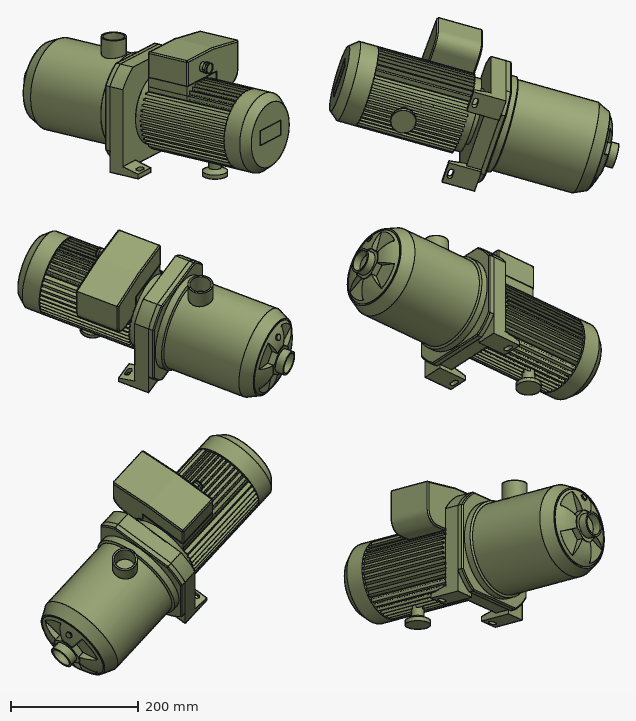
import cadquery as cq
import math


HUB_FACE_X = 13.8
DOME_START_X = 15.0
POCKET_FLOOR_X = 25.0
SHELL_START_X = 29.0
CONE_END_X = 49.6
COLLAR_START_X = 183.3
COLLAR_FULL_X = 185.3
FLANGE_X = 196.5
BRACKET_X = 205.9
NECK_X = 230.5
MOTOR_X = 239.0
FINS_X = 251.2
COVER_X = 410.4
COVER_TAPER_X = 440.4
COVER_END_X = 454.5
OVERALL_LENGTH = 455.3

PIPE_R = 39.7 / 2
PIPE_BORE_R = 33.7 / 2
DISCHARGE_X = 157.3
DISCHARGE_TOP_Z = 102.3
DISCHARGE_FLOOR_Z = 70.0

HUB_R = 25.7
DOME_R = 57.5
CAP_R = 62.5
POCKET_COUNT = 4
POCKET_HALF_ANGLE = math.radians(22.5)
POCKET_INNER = HUB_R * math.cos(POCKET_HALF_ANGLE)

PLUG_R = 10 / 2
PLUG_CENTRE_R = 49.0
PLUG_RAISE = 2.2
PLUG_DEPTH = 6.0

SHELL_END_R = 65.0
SHELL_R = 149 / 2
COLLAR_R = 156.5 / 2

PLATE_HALF = 83.0
PLATE_CORNER_R = 99.0
FLANGE_CHAMFER = 2.0
BASE_Z = -90.0
FOOT_INNER_Y = 47.3
FOOT_END_X = 259.5
FOOT_ROOT_Z = -75.3
FOOT_END_Z = -82.2
SLOT_X = 251.2
SLOT_WIDTH = 8.2
SLOT_OUTER_Y = 73.2

NECK_R = 91 / 2
MOTOR_R = 120 / 2
FIN_TIP_R = 130 / 2
FIN_PITCH = 8.2
FIN_THICKNESS = 2.0
FIN_ROOT_DEPTH = 0.5
FINS_EACH_WAY = 5
COVER_END_R = 53.5
BADGE_WIDTH = 57.4
BADGE_HEIGHT = 24.6
BADGE_CENTRE_Z = 2.8

BOX_X = 250.0
BOX_LENGTH = 75.6
BOX_FRONT_Y = -42.0
BOX_RIDGE_Y = 30.3
BOX_BACK_Y = 102.0
BOX_TOP_Z = 109.0
BOX_BACK_TOP_Z = 99.4
BOX_BOTTOM_Z = 30.0
BOX_BOTTOM_R = 23.0
BOX_EDGE_CHAMFER = 2.2
PEDESTAL_TOP_Z = 66.4
PEDESTAL_LENGTH = 72.5

GLAND_R = 16 / 2
GLAND_Z = 87.0
GLAND_END_X = 340.2
GLAND_NUT_X = 331.3
GLAND_NUT_WIDTH = 4.3
GLAND_LIP_R = 8.6
GLAND_LIP_WIDTH = 1.4

SUPPORT_X = 349.5
SUPPORT_R = 40 / 2
SUPPORT_STEM_R = 20 / 2
SUPPORT_CONE_TOP_Z = -77.3
SUPPORT_DISC_TOP_Z = -83.0
SUPPORT_SEAT_Z = -58.0


def cylinder_x(radius, start, end):
    """Solid cylinder on the shaft axis between two X stations."""
    return cq.Workplane("YZ").workplane(offset=start).circle(radius).extrude(end - start)


def cylinder_z(x, radius, bottom, top):
    """Solid vertical cylinder standing in the plane Y = 0."""
    return cq.Workplane("XY").workplane(offset=bottom).center(x, 0).circle(radius).extrude(top - bottom)


def block(x, y, z):
    """Box given by its (low, high) limits along each axis."""
    size = [high - low for low, high in (x, y, z)]
    return cq.Workplane("XY").box(*size, centered=False).translate((x[0], y[0], z[0]))


def revolve_x(profile):
    """Turn a closed (X, radius) profile round the shaft axis."""
    return profile.close().revolve(360, (0, 0, 0), (1, 0, 0))


def dome_x(radius):
    """X of the domed face, which starts square to the shaft at the hub."""
    return DOME_START_X + DOME_R - math.sqrt(DOME_R**2 - (radius - HUB_R) ** 2)


def dome_tilt(radius):
    """Angle of the dome's normal away from -X, in radians."""
    return math.asin((radius - HUB_R) / DOME_R)


def make_plug():
    tilt = dome_tilt(PLUG_CENTRE_R)
    outward = cq.Vector(-math.cos(tilt), 0, math.sin(tilt))
    surface_point = cq.Vector(dome_x(PLUG_CENTRE_R), 0, PLUG_CENTRE_R)
    inner_end = surface_point - outward * PLUG_DEPTH
    solid = cq.Solid.makeCylinder(PLUG_R, PLUG_DEPTH + PLUG_RAISE, inner_end, outward)
    return cq.Workplane(solid)


def make_cap():
    mid_r = (HUB_R + CAP_R) / 2
    cap = revolve_x(
        cq.Workplane("XY")
        .moveTo(HUB_FACE_X, 0)
        .lineTo(HUB_FACE_X, HUB_R)
        .lineTo(DOME_START_X, HUB_R)
        .threePointArc((dome_x(mid_r), mid_r), (dome_x(CAP_R), CAP_R))
        .lineTo(SHELL_START_X, CAP_R)
        .lineTo(SHELL_START_X, 0)
    )
    nozzle = cylinder_x(PIPE_R, 0, HUB_FACE_X).cut(cylinder_x(PIPE_BORE_R, 0, HUB_FACE_X))
    inner_half = POCKET_INNER * math.tan(POCKET_HALF_ANGLE)
    outer_half = CAP_R * math.tan(POCKET_HALF_ANGLE)
    pocket = (
        cq.Workplane("YZ")
        .moveTo(POCKET_INNER, -inner_half)
        .lineTo(CAP_R, -outer_half)
        .lineTo(CAP_R, outer_half)
        .lineTo(POCKET_INNER, inner_half)
        .close()
        .extrude(POCKET_FLOOR_X)
    )
    step = 360 / POCKET_COUNT
    for index in range(POCKET_COUNT):
        cap = cap.cut(pocket.rotate((0, 0, 0), (1, 0, 0), step * (index + 0.5)))
    return cap.union(nozzle).cut(make_plug())


def make_shell():
    shell = revolve_x(
        cq.Workplane("XY")
        .moveTo(SHELL_START_X, 0)
        .lineTo(SHELL_START_X, SHELL_END_R)
        .lineTo(CONE_END_X, SHELL_R)
        .lineTo(COLLAR_START_X, SHELL_R)
        .lineTo(COLLAR_FULL_X, COLLAR_R)
        .lineTo(FLANGE_X, COLLAR_R)
        .lineTo(FLANGE_X, 0)
    )
    port = cylinder_z(DISCHARGE_X, PIPE_R, 0, DISCHARGE_TOP_Z)
    bore = cylinder_z(DISCHARGE_X, PIPE_BORE_R, DISCHARGE_FLOOR_Z, DISCHARGE_TOP_Z)
    return shell.union(port).cut(bore)


def rounded_plate(start, end):
    """Square plate whose corners are cut to a circle about the shaft axis."""
    square = block((start, end), (-PLATE_HALF, PLATE_HALF), (-PLATE_HALF, PLATE_HALF))
    return square.intersect(cylinder_x(PLATE_CORNER_R, start, end))


def make_flange():
    return rounded_plate(FLANGE_X, BRACKET_X).faces("<X").chamfer(FLANGE_CHAMFER)


def make_bracket():
    bracket = rounded_plate(BRACKET_X, NECK_X)
    lower_half = block((BRACKET_X, NECK_X), (-PLATE_HALF, PLATE_HALF), (-PLATE_HALF, 0))
    bracket = bracket.union(lower_half)
    foot = (
        cq.Workplane("XZ", origin=(0, PLATE_HALF, 0))
        .moveTo(BRACKET_X, BASE_Z)
        .lineTo(FOOT_END_X, BASE_Z)
        .lineTo(FOOT_END_X, FOOT_END_Z)
        .lineTo(NECK_X, FOOT_ROOT_Z)
        .lineTo(BRACKET_X, FOOT_ROOT_Z)
        .close()
        .extrude(PLATE_HALF - FOOT_INNER_Y)
    )
    foot_centre_y = (PLATE_HALF + FOOT_INNER_Y) / 2
    slot_length = 2 * (SLOT_OUTER_Y - foot_centre_y)
    slot = (
        cq.Workplane("XY", origin=(SLOT_X, foot_centre_y, BASE_Z))
        .slot2D(slot_length, SLOT_WIDTH, 90)
        .extrude(FOOT_ROOT_Z - BASE_Z)
    )
    foot = foot.cut(slot)
    return bracket.union(foot).union(foot.mirror("XZ"))


def make_support():
    return (
        cq.Workplane("XZ")
        .moveTo(0, SUPPORT_SEAT_Z)
        .lineTo(SUPPORT_STEM_R, SUPPORT_SEAT_Z)
        .lineTo(SUPPORT_STEM_R, SUPPORT_CONE_TOP_Z)
        .lineTo(SUPPORT_R, SUPPORT_DISC_TOP_Z)
        .lineTo(SUPPORT_R, BASE_Z)
        .lineTo(0, BASE_Z)
        .close()
        .revolve(360, (0, 0, 0), (0, 1, 0))
        .translate((SUPPORT_X, 0, 0))
    )


def make_fins():
    """Parallel round-tipped fins: level on the two sides, upright above and below."""
    half = FIN_THICKNESS / 2
    fins = []
    for index in range(-FINS_EACH_WAY, FINS_EACH_WAY + 1):
        offset = index * FIN_PITCH
        root = math.sqrt(MOTOR_R**2 - (abs(offset) + half) ** 2) - FIN_ROOT_DEPTH
        tip_centre = math.sqrt((FIN_TIP_R - half) ** 2 - offset**2)
        fin = (
            cq.Workplane("YZ", origin=(FINS_X, 0, 0))
            .moveTo(offset - half, root)
            .lineTo(offset - half, tip_centre)
            .threePointArc((offset, tip_centre + half), (offset + half, tip_centre))
            .lineTo(offset + half, root)
            .close()
            .extrude(COVER_X - FINS_X)
        )
        for turn in range(4):
            fins.append(fin.rotate((0, 0, 0), (1, 0, 0), 90 * turn))
    return fins


def make_pedestal():
    """Raised seat for the terminal box, reaching out to the outermost upright fins."""
    half_width = FINS_EACH_WAY * FIN_PITCH
    return block((FINS_X, FINS_X + PEDESTAL_LENGTH), (-half_width, half_width), (0, PEDESTAL_TOP_Z))


def make_motor():
    neck = cylinder_x(NECK_R, NECK_X, MOTOR_X)
    core = cylinder_x(MOTOR_R, MOTOR_X, COVER_X)
    extras = [fin.val() for fin in make_fins()] + [make_pedestal().val(), neck.val()]
    motor = cq.Workplane(core.val().fuse(*extras))
    return motor.cut(make_support())


def make_fan_cover():
    cover = revolve_x(
        cq.Workplane("XY")
        .moveTo(COVER_X, 0)
        .lineTo(COVER_X, FIN_TIP_R)
        .lineTo(COVER_TAPER_X, FIN_TIP_R)
        .lineTo(COVER_END_X, COVER_END_R)
        .lineTo(COVER_END_X, 0)
    )
    badge = (
        cq.Workplane("YZ", origin=(COVER_END_X, 0, BADGE_CENTRE_Z))
        .rect(BADGE_WIDTH, BADGE_HEIGHT)
        .extrude(OVERALL_LENGTH - COVER_END_X)
    )
    return cover.union(badge)


def make_terminal_box():
    """Box with a sloping lid whose back hangs down beside the motor."""
    box = (
        cq.Workplane("YZ", origin=(BOX_X, 0, 0))
        .moveTo(BOX_FRONT_Y, BOX_BOTTOM_Z)
        .lineTo(BOX_FRONT_Y, BOX_TOP_Z)
        .lineTo(BOX_RIDGE_Y, BOX_TOP_Z)
        .lineTo(BOX_BACK_Y, BOX_BACK_TOP_Z)
        .lineTo(BOX_BACK_Y, BOX_BOTTOM_Z + BOX_BOTTOM_R)
        .radiusArc((BOX_BACK_Y - BOX_BOTTOM_R, BOX_BOTTOM_Z), BOX_BOTTOM_R)
        .close()
        .extrude(BOX_LENGTH)
        .faces("<X or >X or <Y")
        .chamfer(BOX_EDGE_CHAMFER)
    )
    box_end_x = BOX_X + BOX_LENGTH
    pedestal_side_y = make_pedestal().val().BoundingBox().ymax
    below = block((BOX_X, box_end_x), (BOX_FRONT_Y, pedestal_side_y), (0, PEDESTAL_TOP_Z))
    return box.cut(below).cut(cylinder_x(FIN_TIP_R, BOX_X, box_end_x))


def make_gland():
    start = BOX_X + BOX_LENGTH
    axis = cq.Workplane("YZ", origin=(0, 0, GLAND_Z))
    lip_start = GLAND_END_X - GLAND_LIP_WIDTH
    barrel = axis.workplane(offset=start).circle(GLAND_R).extrude(GLAND_END_X - start)
    lip = axis.workplane(offset=lip_start).circle(GLAND_LIP_R).extrude(GLAND_LIP_WIDTH)
    corner_diameter = 2 * GLAND_R / math.cos(math.pi / 6)
    nut = axis.workplane(offset=GLAND_NUT_X).polygon(6, corner_diameter).extrude(GLAND_NUT_WIDTH)
    return barrel.union(nut).union(lip)


bodies = [
    make_cap(),
    make_plug(),
    make_shell(),
    make_flange(),
    make_bracket(),
    make_motor(),
    make_fan_cover(),
    make_terminal_box(),
    make_gland(),
    make_support(),
]
result = cq.Compound.makeCompound([body.val() for body in bodies])